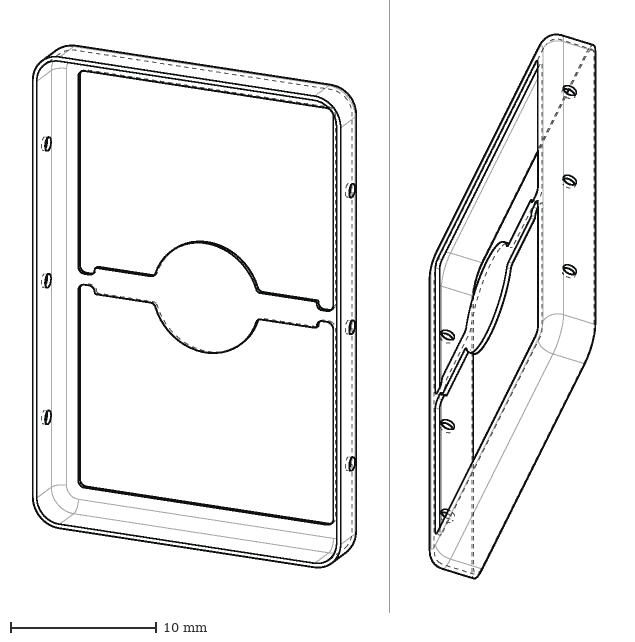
import cadquery as cq

width = 23.3
depth = 3.5
height = 34.5
wall = 0.3
corner_radius = 2.0
back_radius = 1.1

window_margin = 2.0
window_radius = 0.5
bar_height = 1.93
disc_diameter = 8.0
disc_blend_radius = 0.35

neck_length = 1.25
neck_height = 0.8
neck_end_radius = 0.4
bar_end_radius = 0.15

hole_diameter = 0.95
hole_spacing = 10.0
hole_from_back = back_radius + hole_diameter / 2

window_width = width - 2 * window_margin
window_height = height - 2 * window_margin
bar_length = window_width - 2 * neck_length


def rounded_block(size_x, size_z, length, edge_radius, back_edge_radius):
    """Block from y = 0 to y = length, with rounded corners and a rounded +Y rim."""
    block = cq.Workplane("XZ").rect(size_x, size_z).extrude(-length)
    return block.edges("|Y").fillet(edge_radius).faces(">Y").edges().fillet(back_edge_radius)


def floor_plate(size_x, size_z):
    """Rectangular plate centred on the Y axis, filling the thickness of the floor."""
    return cq.Workplane("XZ", origin=(0, depth - wall, 0)).rect(size_x, size_z).extrude(-wall)


def corner_edges(body, x, z):
    """Edges along Y at the four mirrored positions (+-x, +-z)."""
    tolerance = 0.017
    edges = body.edges("|Y")
    selected = None
    for sign_x in (-1, 1):
        for sign_z in (-1, 1):
            low = (sign_x * x - tolerance, depth - 2 * wall, sign_z * z - tolerance)
            high = (sign_x * x + tolerance, depth + wall, sign_z * z + tolerance)
            corner = edges.edges(cq.selectors.BoxSelector(low, high))
            selected = corner if selected is None else selected.add(corner)
    return selected


def make_shell():
    outer = rounded_block(width, height, depth, corner_radius, back_radius)
    cavity = rounded_block(
        width - 2 * wall, height - 2 * wall, depth - wall, corner_radius - wall, back_radius - wall
    )
    return outer.cut(cavity)


def make_crossbar():
    disc = cq.Workplane("XZ", origin=(0, depth - wall, 0)).circle(disc_diameter / 2).extrude(-wall)
    bar = floor_plate(bar_length, bar_height).union(disc)
    joint_x = ((disc_diameter / 2) ** 2 - (bar_height / 2) ** 2) ** 0.5
    bar = corner_edges(bar, joint_x, bar_height / 2).fillet(disc_blend_radius)
    return bar.union(floor_plate(window_width, neck_height))


def make_window_cutter():
    """Two openings, one above and one below the crossbar, with rounded corners."""
    cutter = floor_plate(window_width, window_height).cut(make_crossbar())
    rounded_corners = (
        (window_width / 2, window_height / 2, window_radius),
        (window_width / 2, neck_height / 2, window_radius),
        (bar_length / 2, neck_height / 2, neck_end_radius),
        (bar_length / 2, bar_height / 2, bar_end_radius),
    )
    for x, z, radius in rounded_corners:
        cutter = corner_edges(cutter, x, z).fillet(radius)
    return cutter


def make_pin_holes():
    return (
        cq.Workplane("YZ", origin=(-width / 2, depth - hole_from_back, 0))
        .rarray(0.35, hole_spacing, 1, 3)
        .circle(hole_diameter / 2)
        .extrude(width)
    )


result = make_shell().cut(make_window_cutter()).cut(make_pin_holes())